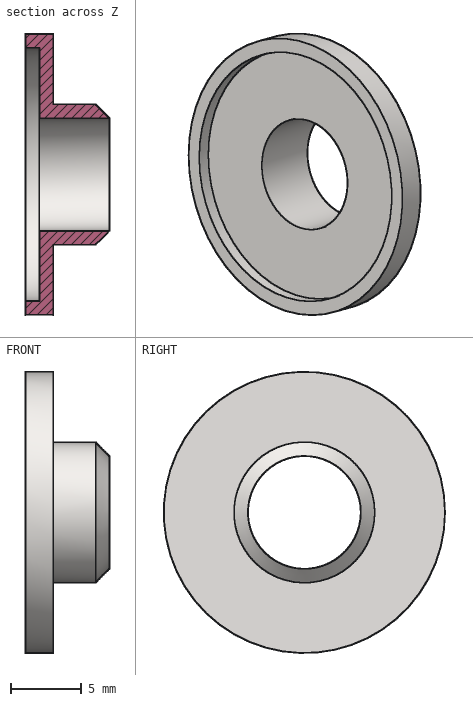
import cadquery as cq

flange_diameter = 20
flange_thickness = 2
boss_diameter = 10
boss_length = 4
boss_chamfer = 1
bore_diameter = 8
recess_diameter = 18
recess_depth = 1


def disc(diameter, start, length):
    """Solid cylinder along +X beginning at x = start."""
    return cq.Workplane("YZ", origin=(start, 0, 0)).circle(diameter / 2).extrude(length)


flange = disc(flange_diameter, 0, flange_thickness)

boss = disc(boss_diameter, flange_thickness, boss_length).faces(">X").edges().chamfer(boss_chamfer)

recess = disc(recess_diameter, 0, recess_depth)
bore = disc(bore_diameter, 0, flange_thickness + boss_length)

result = flange.union(boss).cut(recess).cut(bore)